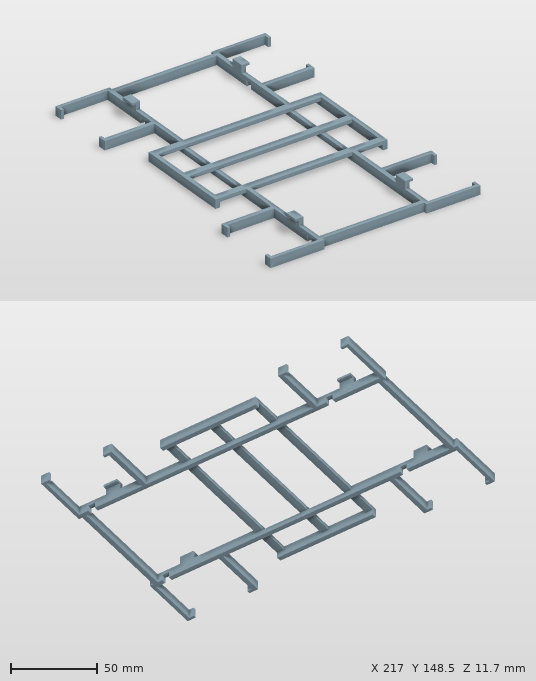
import cadquery as cq

length = 217.0
width = 148.5
height = 11.7

bar_width = 3.0
bar_height = 6.3
lap_z = 3.7

rail_inner_y = 36.0
rail_outer_y = rail_inner_y + bar_width

end_arm_width = 2.4
inner_arm_x = 58.8
lip_width = 2.0
end_lip_reach = 5.6
inner_lip_reach = 6.0

frame_length = 121.7
frame_width = 67.5
frame_bar_width = 5.0

clip_center_x = 82.5
clip_length = 9.3
clip_reach = 5.6
clip_lip_thickness = 1.5

notch_centers_x = (-70.5, 97.5)
notch_length = 4.5
notch_height = 4.0


def block(x_range, y_range, z_range):
    """Axis-aligned box spanning three (low, high) ranges."""
    x_low, x_high = x_range
    y_low, y_high = y_range
    z_low, z_high = z_range
    box = cq.Workplane("XY").box(x_high - x_low, y_high - y_low, z_high - z_low, centered=False)
    return box.translate((x_low, y_low, z_low))


def mirrored_pair(body, plane):
    """The body together with its mirror image in a plane through the origin."""
    return body.union(body.mirror(plane))


def rail():
    """Rail at +Y, lowered inside the central frame and notched from below."""
    y_range = (rail_inner_y, rail_outer_y)
    body = block((-length / 2, length / 2), y_range, (0, bar_height))
    body = body.cut(block((-frame_width / 2, frame_width / 2), y_range, (lap_z, bar_height)))
    for x in notch_centers_x:
        notch_x = (x - notch_length / 2, x + notch_length / 2)
        body = body.cut(block(notch_x, y_range, (0, notch_height)))
    return body


def hooked_arms():
    """The two arms of the +X, +Y corner, their lips turned toward each other."""
    full_height = (0, bar_height)
    arm_y = (rail_outer_y, width / 2)
    lip_y = (width / 2 - lip_width, width / 2)
    end_arm = block((length / 2 - end_arm_width, length / 2), arm_y, full_height)
    end_lip = block((length / 2 - end_lip_reach, length / 2), lip_y, full_height)
    inner_arm = block((inner_arm_x, inner_arm_x + bar_width), arm_y, full_height)
    inner_lip = block((inner_arm_x, inner_arm_x + inner_lip_reach), lip_y, full_height)
    return end_arm.union(end_lip).union(inner_arm).union(inner_lip)


def clip():
    """Clip on the +X, +Y rail with its lip hanging outward past the rail."""
    clip_x = (clip_center_x - clip_length / 2, clip_center_x + clip_length / 2)
    stem = block(clip_x, (rail_inner_y, rail_outer_y), (bar_height, height))
    lip = block(clip_x, (rail_inner_y, rail_inner_y + clip_reach), (height - clip_lip_thickness, height))
    return stem.union(lip)


def end_strut():
    """Strut at +X joining the two rails, just inside the end arms."""
    outer_x = length / 2 - end_arm_width
    return block((outer_x - bar_width, outer_x), (-rail_inner_y, rail_inner_y), (0, bar_height))


def central_frame():
    """Three shallow bars lapped over the rails and two full height end bars."""
    half_length = frame_length / 2
    side_x = (frame_width - frame_bar_width) / 2
    end_y = (half_length - bar_width, half_length)
    end_bar = block((-frame_width / 2, frame_width / 2), end_y, (0, bar_height))
    body = mirrored_pair(end_bar, "XZ")
    for x in (-side_x, 0, side_x):
        bar_x = (x - frame_bar_width / 2, x + frame_bar_width / 2)
        body = body.union(block(bar_x, (-half_length, half_length), (lap_z, bar_height)))
    return body


corner = mirrored_pair(hooked_arms().union(clip()), "YZ")
side = rail().union(corner)
struts = mirrored_pair(end_strut(), "YZ")
result = mirrored_pair(side, "XZ").union(struts).union(central_frame())